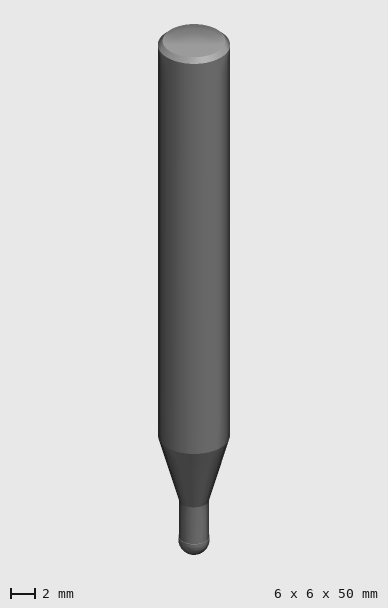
import cadquery as cq

total_length = 50.0
shank_radius = 3.0
end_chamfer = 0.4

ball_radius = 1.3
head_length = 1.6

neck_radius = 1.25
taper_start = 5.2
taper_end = 11.5


def make_head():
    """Ball nose with a short cylindrical land above it."""
    arc_middle = ball_radius * 0.5 ** 0.5
    profile = (
        cq.Workplane("XZ")
        .moveTo(0, 0)
        .threePointArc((arc_middle, ball_radius - arc_middle), (ball_radius, ball_radius))
        .lineTo(ball_radius, head_length)
        .lineTo(0, head_length)
        .close()
    )
    return profile.revolve(360, (0, 0, 0), (0, 1, 0))


def make_shank():
    """Neck, taper and chamfered shank, seated on the flat top of the head."""
    profile = (
        cq.Workplane("XZ")
        .moveTo(0, head_length)
        .lineTo(neck_radius, head_length)
        .lineTo(neck_radius, taper_start)
        .lineTo(shank_radius, taper_end)
        .lineTo(shank_radius, total_length - end_chamfer)
        .lineTo(shank_radius - end_chamfer, total_length)
        .lineTo(0, total_length)
        .close()
    )
    return profile.revolve(360, (0, 0, 0), (0, 1, 0))


head = make_head()
shank = make_shank()

result = cq.Compound.makeCompound([head.val(), shank.val()])